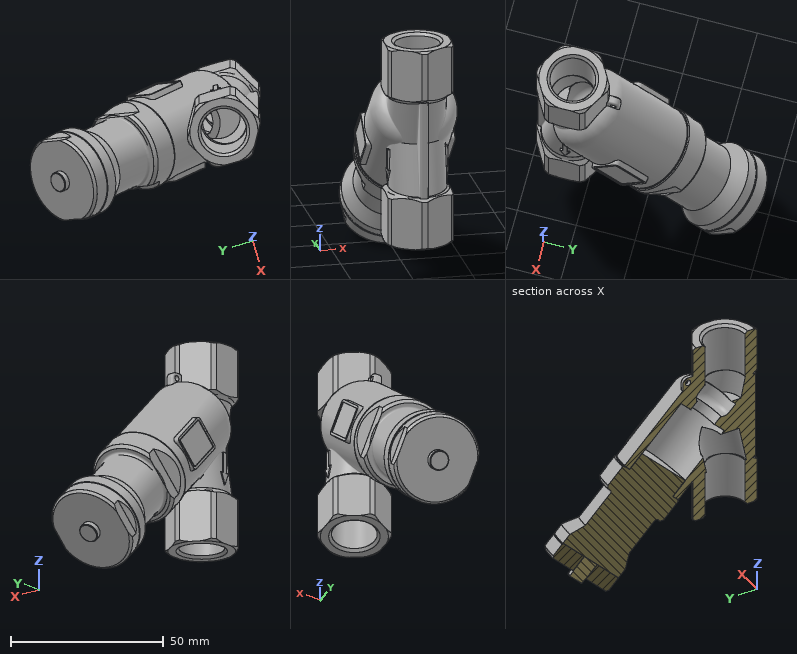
import cadquery as cq
import math


total_height = 85.2
branch_angle = math.radians(45)

pipe_half_length = 34.4
hex_flats = 22.0
hex_corner_radius = 12.2
hex_outer_chamfer_height = 0.7
hex_outer_face_radius = 11.2
hex_inner_start = 17.6
hex_inner_face = 16.6
hex_inner_face_radius = 10.6
hex_root = 15.6
thread_radius = 7.5
thread_mouth_radius = 8.4

pipe_radius = 9.7
pipe_tilt = math.radians(11.5)
bend_y = 3.1
bend_z = 0.9
passage_radius = 7.3
clip_size = 51.1
lower_passage_top = -3.4
upper_passage_floor = 8.5

rib_half_width = 1.4
rib_face_y = -11.7
rib_rounding = 0.8
rib_fillet = 0.7
branch_fillet = 0.3

dome_start = 2.1
dome_radius = 6.4
barrel_radius = 14.6
barrel_end = 39.7
barrel_chamfer = 0.3
seat_radius = 6.3
seat_end = 12.1
seat_start = 8.6
funnel_radius = 8.2
funnel_start = 2.55
funnel_bend = 6.0
chamber_radius = 11.5

large_radius = 15.0
joint_chamfer = 0.3
spigot_length = 6.8
collar_end = 48.9
collar_chamfer = 1.0
collar_flats = 24.2
collar_flat_start = 44.9
neck_radius = 11.9
neck_fillet = 0.85
cone_start = 63.05
cone_end = 68.3
bonnet_end = 72.2

cap_end = 78.1
cap_chamfer = 0.85
cap_flats = 27.1
cap_flat_start = 74.8
stem_radius = 3.3
stem_end = 80.2
stem_chamfer = 0.25

pad_start = 20.4
pad_end = 35.3
pad_width = 12.3
pad_corner = 1.2
pad_taper = 10.0
pad_root = 12.35
pad_rim = 0.85
pad_recess = 0.25

arrow_face = 10.1
arrow_root = 8.95
arrow_top = -2.55
arrow_neck = -9.45
arrow_tip = -13.6
arrow_shaft_half = 0.8
arrow_head_half = 1.7

lug_y = 14.1
lug_z = 21.5
lug_radius = 2.05
lug_hole_radius = 0.9
lug_thickness = 2.9
lug_rounding = 0.7
lug_depth = 5.1

cap_edge_drop = (cap_end - cap_chamfer + large_radius) * math.sin(branch_angle)
branch_z = pipe_half_length - total_height + cap_edge_drop

BRANCH = cq.Plane(
    origin=(0, 0, branch_z),
    xDir=(1, 0, 0),
    normal=(0, math.sin(branch_angle), -math.cos(branch_angle)),
)


def turned(outline):
    """Solid of revolution about the local Z axis; the outline is a closed wire of (radius, station)."""
    return outline.close().revolve(360, (0, 0, 0), (0, 1, 0))


def on_branch(body):
    """Move a body built about the Z axis onto the branch axis."""
    return body.newObject([body.val().moved(BRANCH.location)])


def flat_cutter(side, across_flats, start, end):
    """Material outside one wrench flat on the +X or -X side, with a 45 degree run-out at its start."""
    flat = across_flats / 2
    reach = large_radius + 0.85 - flat
    outline = [(flat, start), (flat + reach, start - reach), (flat + reach, end), (flat, end)]
    points = [(side * x, station) for x, station in outline]
    return cq.Workplane("XZ").polyline(points).close().extrude(large_radius, both=True)


def hex_end():
    """Upper hexagonal end with rounded corners, chamfered at both ends."""
    height = pipe_half_length - hex_root
    prism_diameter = hex_flats / math.cos(math.radians(30))
    prism = (
        cq.Workplane("XY", origin=(0, 0, hex_root))
        .polygon(6, prism_diameter)
        .extrude(height)
        .rotate((0, 0, 0), (0, 0, 1), 30)
    )
    envelope = turned(
        cq.Workplane("XZ")
        .moveTo(0, hex_root)
        .lineTo(pipe_radius, hex_root)
        .lineTo(hex_inner_face_radius, hex_inner_face)
        .lineTo(hex_corner_radius, hex_inner_start)
        .lineTo(hex_corner_radius, pipe_half_length - hex_outer_chamfer_height)
        .lineTo(hex_outer_face_radius, pipe_half_length)
        .lineTo(0, pipe_half_length)
    )
    return prism.intersect(envelope)


def leaning_cylinder(radius, end):
    """Upright half of a leaning round bar: +1 for the upper length, -1 for the lower one."""
    direction = (0, -math.sin(pipe_tilt), end * math.cos(pipe_tilt))
    axis = cq.Plane(origin=(0, bend_y, bend_z), xDir=(1, 0, 0), normal=direction)
    bar = cq.Workplane(axis).circle(radius).extrude(clip_size / 2, both=True)
    first = bend_z if end > 0 else -hex_inner_face
    last = hex_inner_face if end > 0 else bend_z
    slab = cq.Workplane("XY", origin=(0, 0, first)).rect(clip_size, clip_size).extrude(last - first)
    return bar.intersect(slab)


def rib():
    """Straight rib between the two hexagons, rounded along its outer edges."""
    depth = bend_y - rib_face_y
    return (
        cq.Workplane("XY", origin=(0, 0, -hex_inner_face))
        .center(0, rib_face_y + depth / 2)
        .rect(2 * rib_half_width, depth)
        .extrude(2 * hex_inner_face)
        .edges("|Z and <Y")
        .fillet(rib_rounding)
    )


def ribbed_pipe():
    """Both leaning pipe lengths and the rib, with fillets where the rib rises from the pipe."""
    upper = leaning_cylinder(pipe_radius, 1)
    lower = leaning_cylinder(pipe_radius, -1)
    body = upper.union(lower).union(rib())
    rib_roots = cq.selectors.BoxSelector(
        (-rib_half_width - rib_rounding, rib_face_y + rib_rounding, -hex_root),
        (rib_half_width + rib_rounding, bend_y - pipe_radius / 2, hex_root),
    )
    return body.edges(rib_roots).edges("not(#Z)").fillet(rib_fillet)


def barrel():
    """Branch barrel with a rounded inner end and a small chamfer at its mouth."""
    dome_face = barrel_radius - dome_radius
    dome_middle = dome_radius * (1 - math.sqrt(0.5))
    return on_branch(turned(
        cq.Workplane("XZ")
        .moveTo(0, dome_start)
        .lineTo(dome_face, dome_start)
        .threePointArc(
            (barrel_radius - dome_middle, dome_start + dome_middle),
            (barrel_radius, dome_start + dome_radius),
        )
        .lineTo(barrel_radius, barrel_end - barrel_chamfer)
        .lineTo(barrel_radius - barrel_chamfer, barrel_end)
        .lineTo(0, barrel_end)
    ))


def filleted_joint(body):
    """Fillet the long curves along which the barrel runs into the pipe lengths."""
    joint = [
        edge
        for edge in body.edges().vals()
        if edge.geomType() == "BSPLINE" and edge.Length() > barrel_radius
    ]
    return body.newObject([body.val().fillet(branch_fillet, joint)])


def name_pad(side):
    """Raised pad with a shallow recessed panel on the +X or -X side of the barrel."""
    length = pad_end - pad_start
    middle = (pad_start + pad_end) / 2
    face = cq.Plane(origin=(side * large_radius, 0, middle), xDir=(0, 1, 0), normal=(side, 0, 0))
    inner_corner = pad_corner - pad_rim
    pad = (
        cq.Workplane(face)
        .sketch()
        .rect(pad_width, length)
        .vertices()
        .fillet(pad_corner)
        .finalize()
        .extrude(pad_root - large_radius, taper=-pad_taper)
    )
    panel = (
        cq.Workplane(face)
        .sketch()
        .rect(pad_width - 2 * pad_rim, length - 2 * pad_rim)
        .vertices()
        .fillet(inner_corner)
        .finalize()
        .extrude(-pad_recess)
    )
    return on_branch(pad.cut(panel))


def flow_arrow(side):
    """Raised arrow pointing down the lower pipe."""
    half_outline = [
        (arrow_shaft_half, arrow_top),
        (arrow_shaft_half, arrow_neck),
        (arrow_head_half, arrow_neck),
    ]
    mirrored = [(-y, z) for y, z in reversed(half_outline)]
    return (
        cq.Workplane("YZ", origin=(side * arrow_root, 0, 0))
        .polyline(half_outline + [(0, arrow_tip)] + mirrored)
        .close()
        .extrude(side * (arrow_face - arrow_root))
    )


def lug():
    """Small eye between the upper hexagon and the barrel."""
    plate = (
        cq.Workplane("YZ", origin=(-lug_thickness / 2, 0, 0))
        .moveTo(lug_y + lug_radius, lug_z - lug_depth)
        .lineTo(lug_y + lug_radius, lug_z)
        .radiusArc((lug_y, lug_z + lug_radius), -lug_radius)
        .lineTo(hex_flats / 2, lug_z + lug_radius)
        .lineTo(hex_flats / 2, lug_z - lug_depth)
        .close()
        .extrude(lug_thickness)
    )
    return plate.faces("<X or >X").edges(">Y or >Z or %CIRCLE").fillet(lug_rounding)


def lug_hole():
    return cq.Workplane("YZ").center(lug_y, lug_z).circle(lug_hole_radius).extrude(lug_thickness, both=True)


def threaded_bore():
    """Bore of the upper pipe end with a chamfered mouth."""
    mouth_depth = thread_mouth_radius - thread_radius
    return turned(
        cq.Workplane("XZ")
        .moveTo(0, hex_inner_face)
        .lineTo(thread_radius, hex_inner_face)
        .lineTo(thread_radius, pipe_half_length - mouth_depth)
        .lineTo(thread_mouth_radius, pipe_half_length)
        .lineTo(0, pipe_half_length)
    )


def branch_bore():
    """Funnel, strainer seat and chamber along the branch axis."""
    return on_branch(turned(
        cq.Workplane("XZ")
        .moveTo(0, funnel_start)
        .lineTo(funnel_radius, funnel_start)
        .lineTo(funnel_radius, funnel_bend)
        .threePointArc(
            (funnel_radius - 0.6, funnel_bend + 1.7),
            (seat_radius, seat_start),
        )
        .lineTo(seat_radius, seat_end)
        .lineTo(chamber_radius, seat_end)
        .lineTo(chamber_radius, barrel_end)
        .lineTo(0, barrel_end)
    ))


def upper_passage():
    """Leaning passage from the upper thread down to the start of the funnel."""
    half_space = on_branch(
        cq.Workplane("XY", origin=(0, 0, funnel_start)).rect(clip_size, clip_size).extrude(-clip_size)
    )
    above = cq.Workplane("XY", origin=(0, 0, upper_passage_floor)).rect(clip_size, clip_size).extrude(clip_size)
    return leaning_cylinder(passage_radius, 1).intersect(half_space).intersect(above)


def lower_passage():
    """Leaning passage from the lower thread up into the chamber."""
    below = cq.Workplane("XY", origin=(0, 0, lower_passage_top)).rect(clip_size, clip_size).extrude(-clip_size)
    return leaning_cylinder(passage_radius, -1).intersect(below)


def make_housing():
    body = filleted_joint(ribbed_pipe().union(barrel()))
    body = body.union(hex_end()).union(hex_end().mirror("XY"))
    body = body.union(lug()).cut(lug_hole())
    for side in (1, -1):
        body = body.union(name_pad(side)).union(flow_arrow(side))
    body = body.cut(threaded_bore()).cut(threaded_bore().mirror("XY"))
    return body.cut(branch_bore()).cut(upper_passage()).cut(lower_passage())


def make_bonnet():
    """Spigot, collar with two wrench flats, neck and flared outer end."""
    fillet_middle = neck_fillet * (1 - math.sqrt(0.5))
    body = turned(
        cq.Workplane("XZ")
        .moveTo(0, barrel_end - spigot_length)
        .lineTo(chamber_radius, barrel_end - spigot_length)
        .lineTo(chamber_radius, barrel_end)
        .lineTo(large_radius - joint_chamfer, barrel_end)
        .lineTo(large_radius, barrel_end + joint_chamfer)
        .lineTo(large_radius, collar_end - collar_chamfer)
        .lineTo(large_radius - collar_chamfer, collar_end)
        .lineTo(neck_radius + neck_fillet, collar_end)
        .threePointArc(
            (neck_radius + fillet_middle, collar_end + fillet_middle),
            (neck_radius, collar_end + neck_fillet),
        )
        .lineTo(neck_radius, cone_start)
        .lineTo(large_radius, cone_end)
        .lineTo(large_radius, bonnet_end)
        .lineTo(0, bonnet_end)
    )
    for side in (1, -1):
        body = body.cut(flat_cutter(side, collar_flats, collar_flat_start, collar_end))
    return on_branch(body)


def make_cap():
    """End cap with two wrench flats and a through hole for the stem."""
    body = turned(
        cq.Workplane("XZ")
        .moveTo(stem_radius, bonnet_end)
        .lineTo(large_radius - joint_chamfer, bonnet_end)
        .lineTo(large_radius, bonnet_end + joint_chamfer)
        .lineTo(large_radius, cap_end - cap_chamfer)
        .lineTo(large_radius - cap_chamfer, cap_end)
        .lineTo(stem_radius, cap_end)
    )
    for side in (1, -1):
        body = body.cut(flat_cutter(side, cap_flats, cap_flat_start, cap_end))
    return on_branch(body)


def make_stem():
    body = (
        cq.Workplane("XY", origin=(0, 0, bonnet_end))
        .circle(stem_radius)
        .extrude(stem_end - bonnet_end)
        .faces(">Z")
        .chamfer(stem_chamfer)
    )
    return on_branch(body)


housing = make_housing()
bonnet = make_bonnet()
cap = make_cap()
stem = make_stem()

result = cq.Compound.makeCompound([housing.val(), bonnet.val(), cap.val(), stem.val()])